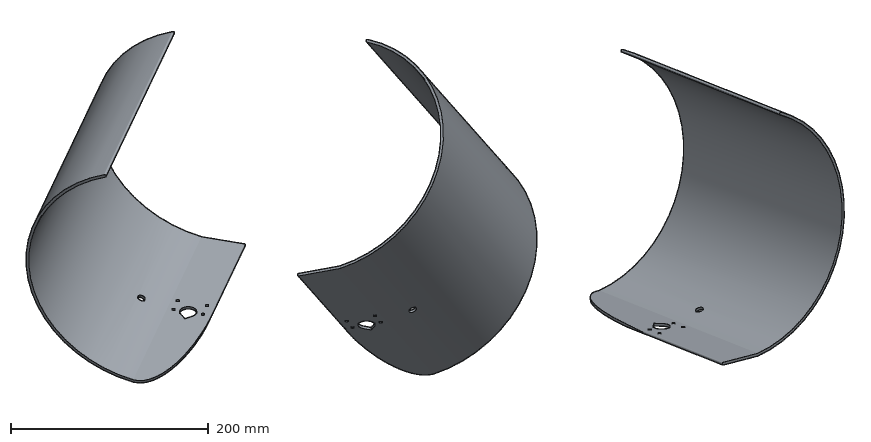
import cadquery as cq
import math

length = 255.0
width = 159.0
wall = 3.0
outer_radius = 132.9
flat_start = 113.0
tip_angle = 22.3
floor_edge_fillet = 1.3

ellipse_center_x = 116.0
ellipse_radius_x = width - ellipse_center_x
ellipse_radius_y = length / 2

mid_y = length / 2
screw_diameter = 3.3
screw_spacing_x = 30.9
screw_spacing_y = 15.5
teardrop_x = 135.0
teardrop_radius = 8.7

wall_hole_diameter = 8.0
wall_hole_angle = 21.3

center_x = outer_radius
center_z = math.sqrt(outer_radius**2 - (center_x - flat_start)**2)
inner_radius = outer_radius - wall
inner_flat_start = center_x - math.sqrt(inner_radius**2 - (center_z - wall)**2)


def tip_point(radius):
    """Point at the upper end of the curved wall, in the XZ plane."""
    angle = math.radians(tip_angle)
    return center_x - radius * math.sin(angle), center_z + radius * math.cos(angle)


def rounded_tip_point():
    """Outermost point of the half-round upper edge."""
    angle = math.radians(tip_angle)
    x, z = tip_point(outer_radius - wall / 2)
    return x + wall / 2 * math.cos(angle), z + wall / 2 * math.sin(angle)


def make_shell():
    """Curved wall and flat floor, extruded along Y."""
    shell = (
        cq.Workplane("XZ")
        .moveTo(width, 0)
        .lineTo(flat_start, 0)
        .threePointArc((0, center_z), tip_point(outer_radius))
        .threePointArc(rounded_tip_point(), tip_point(inner_radius))
        .threePointArc((wall, center_z), (inner_flat_start, wall))
        .lineTo(width, wall)
        .close()
        .extrude(-length)
    )
    return shell.faces(">X").edges("|Y").fillet(floor_edge_fillet)


def make_corner_cutter():
    """Material outside the quarter ellipse at the front of the floor."""
    corner = cq.Workplane("XY").rect(ellipse_radius_x, ellipse_radius_y, centered=False).extrude(wall)
    corner = corner.translate((ellipse_center_x, 0, 0))
    ellipse = (
        cq.Workplane("XY")
        .center(ellipse_center_x, mid_y)
        .ellipse(ellipse_radius_x, ellipse_radius_y)
        .extrude(wall)
    )
    return corner.cut(ellipse)


def make_screw_holes():
    """Two rows of screw holes, one level with the teardrop's center."""
    points = [
        (teardrop_x + side * screw_spacing_x / 2, mid_y + row * screw_spacing_y)
        for side in (-1, 1)
        for row in (0, 1)
    ]
    return cq.Workplane("XY").pushPoints(points).circle(screw_diameter / 2).extrude(wall)


def make_teardrop():
    """Round opening with a right-angled point toward -Y."""
    tangent = teardrop_radius * math.sqrt(0.5)
    return (
        cq.Workplane("XY")
        .center(teardrop_x, mid_y)
        .moveTo(-tangent, -tangent)
        .threePointArc((0, teardrop_radius), (tangent, -tangent))
        .lineTo(0, -2 * tangent)
        .close()
        .extrude(wall)
    )


def make_wall_hole():
    """Cylinder pointing outward from the arc's center through the lower wall."""
    angle = math.radians(wall_hole_angle)
    direction = cq.Vector(-math.sin(angle), 0, -math.cos(angle))
    start = cq.Vector(center_x, mid_y, center_z) + direction * (inner_radius - wall)
    return cq.Workplane(cq.Solid.makeCylinder(wall_hole_diameter / 2, 3 * wall, start, direction))


result = (
    make_shell()
    .cut(make_corner_cutter())
    .cut(make_screw_holes())
    .cut(make_teardrop())
    .cut(make_wall_hole())
)